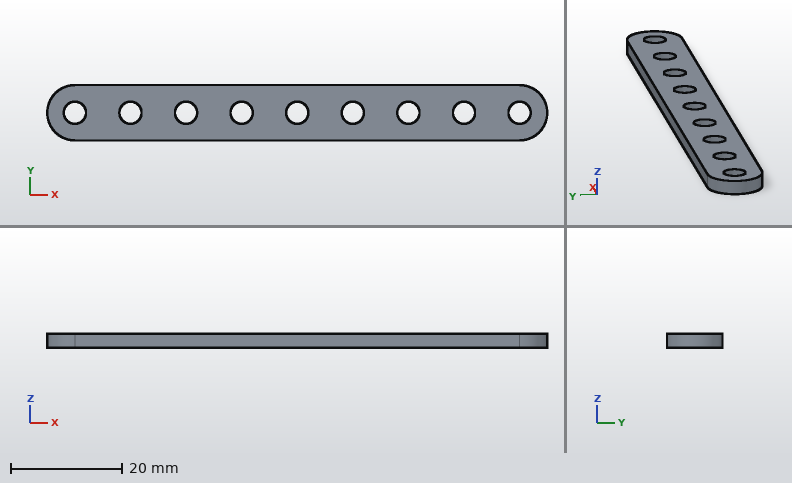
import cadquery as cq

length = 90.0
hole_count = 9
thickness = 2.5
hole_diameter = 4.0

hole_pitch = length / hole_count
width = hole_pitch

strip = cq.Workplane("XY").slot2D(length, width).extrude(thickness)

result = (
    strip.faces(">Z")
    .workplane(origin=(0, 0, thickness))
    .rarray(hole_pitch, width, hole_count, 1)
    .hole(hole_diameter)
)